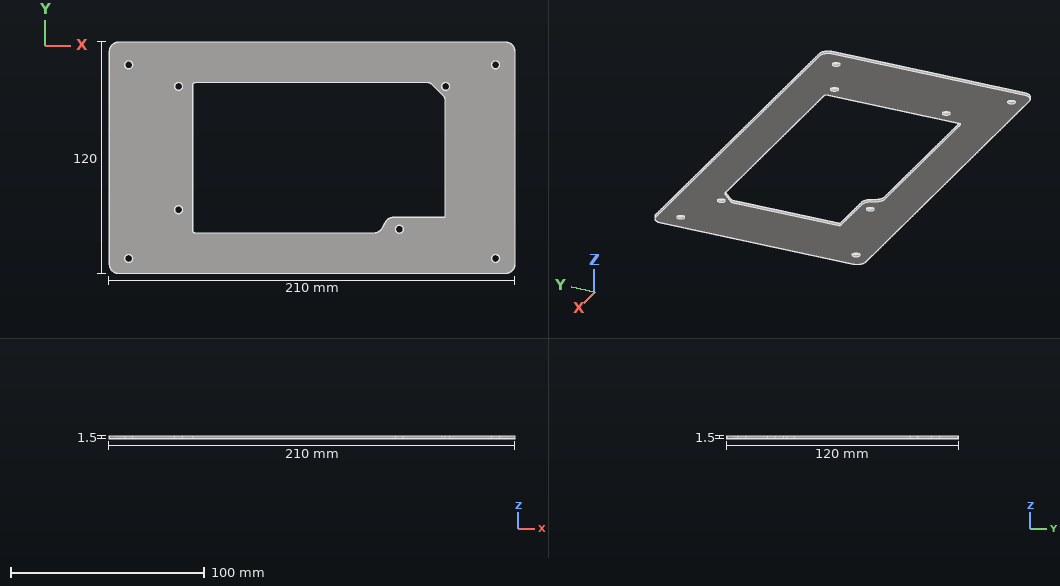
import cadquery as cq

length = 210.0
width = 120.0
thickness = 1.5
corner_radius = 5.0

hole_diameter = 4.0
mount_x = 95.0
mount_top_y = 48.0
mount_bottom_y = -52.0
inner_x = 69.0
inner_y = 37.0
inner_left_low_y = -26.9
step_hole_x = 45.2

window_left = -61.7
window_right = 68.7
window_half_height = 38.8
window_chamfer = 7.5
step_y = -30.7
step_start_x = 34.9
step_end_x = 39.3
window_corner_radius = 1.3
step_radius = 5.0
chamfer_radius = 2.5


def make_plate():
    plate = cq.Workplane("XY").box(length, width, thickness, centered=(True, True, False))
    return plate.edges("|Z").fillet(corner_radius)


def make_window():
    """Rectangular opening with a chamfered corner and a stepped lower edge."""
    left_corners = [(window_left, window_half_height), (window_left, -window_half_height)]
    step_bends = [(step_start_x, -window_half_height), (step_end_x, step_y)]
    chamfer_bends = [
        (window_right, window_half_height - window_chamfer),
        (window_right - window_chamfer, window_half_height),
    ]
    outline = left_corners + step_bends + [(window_right, step_y)] + chamfer_bends
    window = cq.Workplane("XY").polyline(outline).close().extrude(thickness)
    roundings = [
        (left_corners, window_corner_radius),
        (step_bends, step_radius),
        (chamfer_bends, chamfer_radius),
    ]
    for corners, radius in roundings:
        for x, y in corners:
            upright_edge = cq.selectors.NearestToPointSelector((x, y, thickness / 2))
            window = window.edges("|Z").edges(upright_edge).fillet(radius)
    return window


def make_holes():
    centres = [(x, y) for x in (-mount_x, mount_x) for y in (mount_bottom_y, mount_top_y)]
    centres += [
        (-inner_x, inner_y),
        (inner_x, inner_y),
        (-inner_x, inner_left_low_y),
        (step_hole_x, -inner_y),
    ]
    return cq.Workplane("XY").pushPoints(centres).circle(hole_diameter / 2).extrude(thickness)


result = make_plate().cut(make_window()).cut(make_holes())